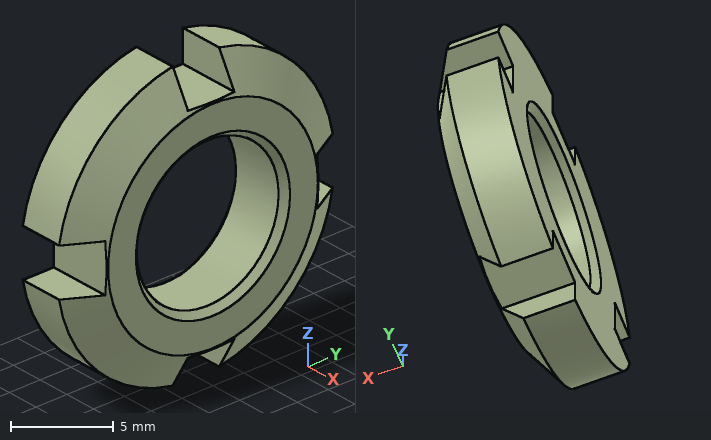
import cadquery as cq
import math

thickness = 4.0
outer_span = 17.75
slot_width = 3.0
slot_depth = 2.0
bore_diameter = 9.2
bore_mouth_diameter = 10.0
cone_face_radius = 6.8
cone_angle = 30.0

outer_radius = math.hypot(outer_span / 2, slot_width / 2)
bore_radius = bore_diameter / 2
bore_chamfer = (bore_mouth_diameter - bore_diameter) / 2
cone_length = (outer_radius - cone_face_radius) * math.tan(math.radians(cone_angle))
slot_floor = outer_span / 2 - slot_depth


def ring_body():
    """Revolve the half section, with both bore mouths chamfered at 45 degrees."""
    return (
        cq.Workplane("XY")
        .moveTo(0, bore_radius + bore_chamfer)
        .lineTo(0, outer_radius)
        .lineTo(thickness - cone_length, outer_radius)
        .lineTo(thickness, cone_face_radius)
        .lineTo(thickness, bore_radius + bore_chamfer)
        .lineTo(thickness - bore_chamfer, bore_radius)
        .lineTo(bore_chamfer, bore_radius)
        .close()
        .revolve(360, (0, 0, 0), (1, 0, 0))
    )


def slot_cutter(angle):
    """Block that cuts one spanner slot, turned about the X axis."""
    return (
        cq.Workplane("XY")
        .box(thickness, slot_width, outer_radius, centered=(False, True, False))
        .translate((0, 0, slot_floor))
        .rotate((0, 0, 0), (1, 0, 0), angle)
    )


result = ring_body()
for slot_angle in (0, 90, 180, 270):
    result = result.cut(slot_cutter(slot_angle))